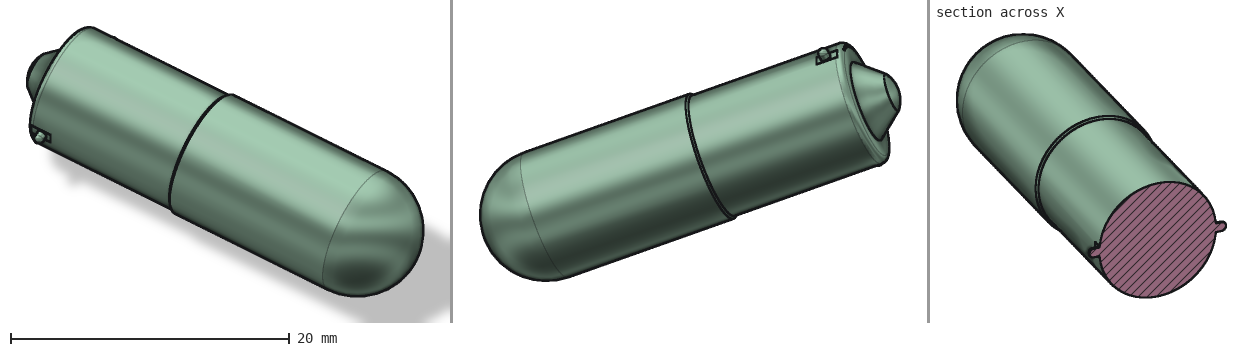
import cadquery as cq
import math

total_length = 32.15
glass_diameter = 9.5
base_diameter = 9.2
base_start = 2.45
rim_fillet = 0.48
step_end = 14.53

cone_base_diameter = 5.98
cap_diameter = 2.83
cap_height = 0.48

pin_diameter = 0.75
pin_span = 10.77
pin_x = 3.7
pad_start = 2.8
pad_end = 4.4
pad_width = 0.9

glass_radius = glass_diameter / 2
base_radius = base_diameter / 2
cap_radius = cap_diameter / 2
pin_radius = pin_diameter / 2
step_chamfer = glass_radius - base_radius
dome_start = total_length - glass_radius


def make_body():
    """Revolve the half profile of the tip, base, glass and dome about X."""
    diagonal = math.sqrt(0.5)
    cap_sphere_radius = (cap_radius**2 + cap_height**2) / (2 * cap_height)
    half_angle = math.asin(cap_radius / cap_sphere_radius) / 2
    cap_middle = (
        cap_sphere_radius * (1 - math.cos(half_angle)),
        cap_sphere_radius * math.sin(half_angle),
    )
    rim_middle = (
        base_start + rim_fillet * (1 - diagonal),
        base_radius - rim_fillet * (1 - diagonal),
    )
    dome_middle = (dome_start + glass_radius * diagonal, glass_radius * diagonal)
    profile = (
        cq.Workplane("XY")
        .moveTo(0, 0)
        .threePointArc(cap_middle, (cap_height, cap_radius))
        .lineTo(base_start, cone_base_diameter / 2)
        .lineTo(base_start, base_radius - rim_fillet)
        .threePointArc(rim_middle, (base_start + rim_fillet, base_radius))
        .lineTo(step_end - step_chamfer, base_radius)
        .lineTo(step_end, glass_radius)
        .lineTo(dome_start, glass_radius)
        .threePointArc(dome_middle, (total_length, 0))
        .close()
    )
    return profile.revolve(360, (0, 0, 0), (1, 0, 0))


def make_pads():
    """One bar across the body makes both pads, flush with the base at their middle."""
    pad_length = pad_end - pad_start
    return (
        cq.Workplane("XY")
        .box(pad_length, base_diameter, pad_width)
        .translate((pad_start + pad_length / 2, 0, 0))
    )


def make_pins():
    """One round bar across the body, with hemispherical ends, makes both pins."""
    straight_length = pin_span - pin_diameter
    pins = cq.Workplane("XZ").circle(pin_radius).extrude(straight_length / 2, both=True)
    for side in (-1, 1):
        end = cq.Workplane("XY").sphere(pin_radius).translate((0, side * straight_length / 2, 0))
        pins = pins.union(end)
    return pins.translate((pin_x, 0, 0))


result = make_body().union(make_pads()).union(make_pins())